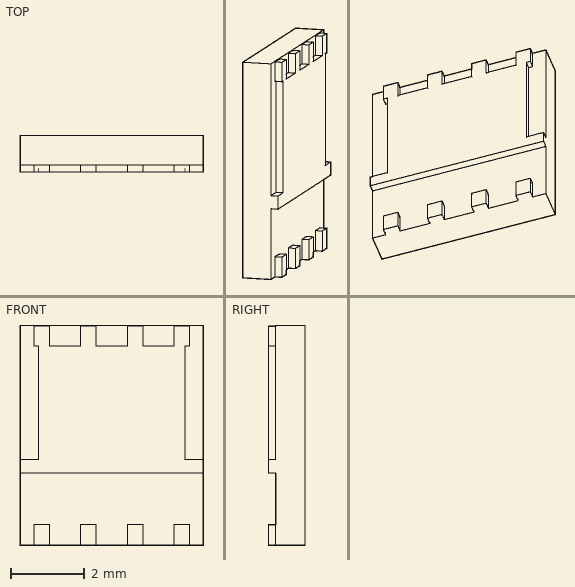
import cadquery as cq

body_width = 5.0
body_height = 6.0
total_depth = 1.0
metal_thickness = 0.2
body_depth = total_depth - metal_thickness

contact_count = 4
contact_pitch = 1.27
contact_width = 0.42
lower_contact_height = 0.565
upper_contact_top_gap = 0.02

pad_width = 4.0
pad_bottom = 1.97
pad_top = 5.44
crossbar_height = 0.365


def metal_block(width, bottom, top, center_x=0):
    """Block of metal on the front face of the body, spanning bottom to top in Z."""
    return cq.Workplane("XY").box(
        width, metal_thickness, top - bottom, centered=(True, False, False)
    ).translate((center_x, -metal_thickness, bottom))


def contact_row(bottom, top):
    """Evenly spaced contacts centred across the body width."""
    row = cq.Workplane("XY")
    for index in range(contact_count):
        center_x = (index - (contact_count - 1) / 2) * contact_pitch
        row = row.add(metal_block(contact_width, bottom, top, center_x))
    return row


body = cq.Workplane("XY").box(body_width, body_depth, body_height, centered=(True, False, False))

thermal_pad = metal_block(pad_width, pad_bottom, pad_top)
crossbar = metal_block(body_width, pad_bottom, pad_bottom + crossbar_height)

upper_contacts = contact_row(pad_top, body_height - upper_contact_top_gap)
lower_contacts = contact_row(0, lower_contact_height)

result = body.union(thermal_pad).union(crossbar)
for contact in upper_contacts.vals() + lower_contacts.vals():
    result = result.union(contact)
result = result.clean()